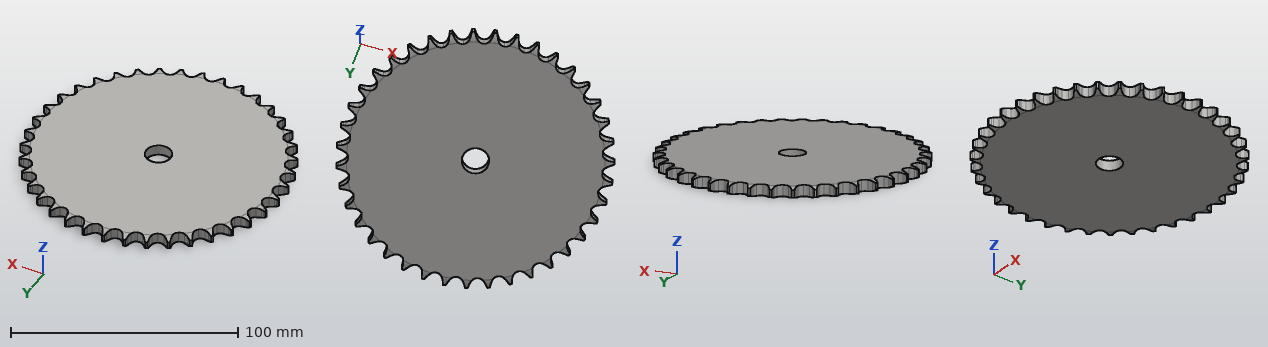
import cadquery as cq
import math

tooth_count = 39
overall_width = 122.5
thickness = 5.3
bore_diameter = 12.0
pitch_diameter = 118.4
roller_diameter = 6.4
roller_clearance = 0.07
face_diameter = 113.7
side_radius = 10.5
tip_half_angle = 0.47

pitch_angle = 360 / tooth_count
outer_radius = overall_width / 2 / math.cos(math.radians(pitch_angle / 4 - tip_half_angle))
pitch_radius = pitch_diameter / 2
face_radius = face_diameter / 2

seat_end_angle = 35 + 60 / tooth_count
working_sweep = 18 - 56 / tooth_count
pressure_angle = 17 - 64 / tooth_count
flank_angle = seat_end_angle - working_sweep
topping_sweep = 16

working_offset = 0.8 * roller_diameter
topping_offset = 1.4 * roller_diameter
seat_radius = (roller_diameter + roller_clearance) / 2
working_radius = seat_radius + working_offset
flank_length = (
    topping_offset * math.sin(math.radians(pressure_angle))
    - working_offset * math.sin(math.radians(working_sweep))
)
topping_radius = (
    working_offset * math.cos(math.radians(working_sweep))
    + topping_offset * math.cos(math.radians(pressure_angle))
    - working_radius
)


def step(point, distance, angle):
    """Move from a point by a distance in a direction given in degrees."""
    direction = math.radians(angle)
    return (point[0] + distance * math.cos(direction), point[1] + distance * math.sin(direction))


def mirrored(point):
    """Same point on the other side of the Y axis."""
    return (-point[0], point[1])


def side_drop(length):
    """Depth of the side rounding at a distance outside the flat face."""
    return side_radius - math.sqrt(side_radius**2 - length**2)


def make_blank():
    """Disc turned with rounded rims on both faces."""
    rounding_length = outer_radius - face_radius
    middle_radius = face_radius + rounding_length / 2
    half = thickness / 2
    middle_half = half - side_drop(rounding_length / 2)
    rim_half = half - side_drop(rounding_length)
    return (
        cq.Workplane("XZ")
        .moveTo(0, -half)
        .lineTo(face_radius, -half)
        .threePointArc((middle_radius, -middle_half), (outer_radius, -rim_half))
        .lineTo(outer_radius, rim_half)
        .threePointArc((middle_radius, middle_half), (face_radius, half))
        .lineTo(0, half)
        .close()
        .revolve(360, (0, 0, 0), (0, 1, 0))
    )


def make_gap_cutter():
    """Prism of one tooth gap, centred on the +Y axis."""
    seat_centre = (0, pitch_radius)
    seat_bottom = step(seat_centre, seat_radius, -90)
    seat_middle = step(seat_centre, seat_radius, -(90 + seat_end_angle) / 2)
    seat_end = step(seat_centre, seat_radius, -seat_end_angle)

    working_centre = step(seat_centre, working_offset, 180 - seat_end_angle)
    working_middle = step(working_centre, working_radius, -(seat_end_angle + flank_angle) / 2)
    working_end = step(working_centre, working_radius, -flank_angle)

    flank_end = step(working_end, flank_length, 90 - flank_angle)

    topping_centre = step(flank_end, topping_radius, -flank_angle)
    topping_start_angle = 180 - flank_angle
    topping_middle = step(topping_centre, topping_radius, topping_start_angle - topping_sweep / 2)
    topping_end = step(topping_centre, topping_radius, topping_start_angle - topping_sweep)

    return (
        cq.Workplane("XY")
        .workplane(offset=-thickness)
        .moveTo(*seat_bottom)
        .threePointArc(seat_middle, seat_end)
        .threePointArc(working_middle, working_end)
        .lineTo(*flank_end)
        .threePointArc(topping_middle, topping_end)
        .lineTo(*mirrored(topping_end))
        .threePointArc(mirrored(topping_middle), mirrored(flank_end))
        .lineTo(*mirrored(working_end))
        .threePointArc(mirrored(working_middle), mirrored(seat_end))
        .threePointArc(mirrored(seat_middle), seat_bottom)
        .close()
        .extrude(2 * thickness, clean=False)
    )


def cut_gaps(blank):
    """Cut all tooth gaps, the first one on the +Y axis.

    The two halves of each roller seat stay separate faces.
    """
    cutter = make_gap_cutter().val()
    gaps = []
    for index in range(tooth_count):
        gaps.append(cutter.rotate((0, 0, 0), (0, 0, 1), index * pitch_angle))
    return blank.cut(cq.Workplane(cq.Compound.makeCompound(gaps)), clean=False)


def make_bore():
    """Cylinder of the centre bore, longer than the thickness."""
    return cq.Workplane("XY").circle(bore_diameter / 2).extrude(thickness, both=True)


result = cut_gaps(make_blank().cut(make_bore()))